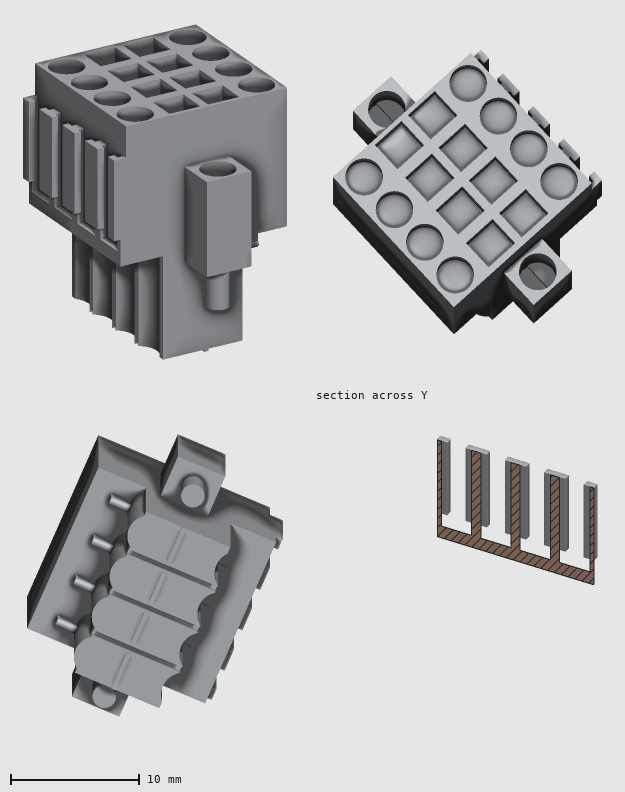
import cadquery as cq
import math

columns = 4
pitch = 3.5
column_x = [(i - (columns - 1) / 2) * pitch for i in range(columns)]
boundary_x = [(i - columns / 2) * pitch for i in range(columns + 1)]
web_x = boundary_x[1:-1]
top_opening_shift = 0.08

block_width = 13.94
block_half_depth = 7.25
block_bottom = 8.99
block_top = 20.8

front_wall = 0.52
front_top = 18.12
channel_width = 2.65
channel_bottom = 10.13
rib_head_width = 1.9
rib_head_depth = 0.56
rib_head_bottom = 11.27

opening_depth = 1.52
wire_radius = 1.45
wire_y = 5.47
release_width = 2.6
release_length = 2.8
release_y = pitch / 2

plug_bottom = 0.19
end_strip_y = -3.9
web_face_y = -4.25
plug_back_y = 3.22
scallop_center_y = -5.26
inner_scallop_radius = 1.75
outer_scallop_radius = 1.79
bump_radius = 1.66
bump_top_y = 3.9
web_slot_width = 0.42
web_slot_height = 0.56

foot_thickness = 0.37
foot_gap = 0.7
tab_reach = 0.75
tab_bottom = 8.0
key_bottom = 7.0
key_radius = 0.33
key_stem_width = 0.48
key_end_y = 5.53

total_width = 20.8
ear_width = (total_width - block_width) / 2
ear_length = 4.01
ear_bottom = 8.1
ear_top = 16.18
ear_x = (total_width - ear_width) / 2

screw_head_radius = 1.45
screw_head_height = 2.0
screw_head_bottom = 10.2
screw_shank_radius = 0.92
screw_bottom = 4.58
screw_slot_width = 0.42
screw_slot_depth = 0.5


def box(x_range, y_range, z_range):
    """Box given by its limits along each axis."""
    (x0, x1), (y0, y1), (z0, z1) = x_range, y_range, z_range
    return cq.Workplane("XY").box(x1 - x0, y1 - y0, z1 - z0, centered=False).translate((x0, y0, z0))


def centered(middle, size):
    """Limits of a span of the given size about its middle."""
    return middle - size / 2, middle + size / 2


def cylinder(x, y, radius, z_range):
    """Upright cylinder between two heights."""
    z0, z1 = z_range
    return cq.Workplane("XY").center(x, y).circle(radius).extrude(z1 - z0).translate((0, 0, z0))


def scallop_radius(column):
    """The two end scallops are slightly larger than the inner ones."""
    return outer_scallop_radius if column in (0, columns - 1) else inner_scallop_radius


def half_chord(radius):
    """Half the width of a scallop where it meets the web face."""
    return math.sqrt(radius ** 2 - (web_face_y - scallop_center_y) ** 2)


def make_upper_block():
    """Block with its T-ribs and the openings in the top face."""
    across = centered(0, block_width)
    face_y = -block_half_depth
    head_y = face_y - front_wall
    block = box(across, (-block_half_depth, block_half_depth), (block_bottom, block_top))

    layer = box(across, (head_y, face_y), (block_bottom, front_top))
    for x in column_x:
        layer = layer.cut(box(centered(x, channel_width), (head_y, face_y), (channel_bottom, front_top)))
    block = block.union(layer)

    head_limits = (head_y - rib_head_depth, head_y), (rib_head_bottom, front_top)
    head_zone = box(across, *head_limits)
    for x in boundary_x:
        block = block.union(box(centered(x, rib_head_width), *head_limits).intersect(head_zone))

    opening_z = (block_top - opening_depth, block_top)
    for x in column_x:
        opening_x = x + top_opening_shift
        for side in (-1, 1):
            block = block.cut(cylinder(opening_x, side * wire_y, wire_radius, opening_z))
            release_y_range = centered(side * release_y, release_length)
            block = block.cut(box(centered(opening_x, release_width), release_y_range, opening_z))
    return block


def make_plug():
    """Lower block, scalloped in front and with round bumps behind."""
    plug_z = (plug_bottom, block_bottom)
    plug = box(centered(0, block_width), (end_strip_y, plug_back_y), plug_z)
    web_span = column_x[-1] - column_x[0]
    plug = plug.union(box(centered(0, web_span), (web_face_y, end_strip_y), plug_z))
    for x in column_x:
        plug = plug.union(cylinder(x, bump_top_y - bump_radius, bump_radius, plug_z))
    for column, x in enumerate(column_x):
        plug = plug.cut(cylinder(x, scallop_center_y, scallop_radius(column), plug_z))

    slot_z = (plug_bottom, plug_bottom + web_slot_height)
    for x in web_x:
        plug = plug.cut(box(centered(x, web_slot_width), (web_face_y, bump_top_y), slot_z))
    return plug


def make_foot_ribs():
    """Thin rib under the plug, interrupted at each web."""
    rib_limits = centered(0, foot_thickness), (0, plug_bottom)
    ribs = box(centered(0, block_width), *rib_limits)
    for x in web_x:
        ribs = ribs.cut(box(centered(x, foot_gap), *rib_limits))
    return ribs


def add_web_tabs(housing):
    """Short tab on the front of each web, under the upper block."""
    tab_limits = (web_face_y - tab_reach, web_face_y), (tab_bottom, block_bottom)
    for left in range(columns - 1):
        x0 = column_x[left] + half_chord(scallop_radius(left))
        x1 = column_x[left + 1] - half_chord(scallop_radius(left + 1))
        housing = housing.union(box((x0, x1), *tab_limits))
    return housing


def add_coding_keys(housing):
    """Key behind each column: a flat stem with a wider round lower edge."""
    key_y = (plug_back_y, key_end_y)
    round_z = key_bottom + key_radius
    for x in column_x:
        stem = box(centered(x, key_stem_width), key_y, (round_z, block_bottom))
        bead = (cq.Workplane("XZ", origin=(x, key_end_y, round_z))
                .circle(key_radius).extrude(key_end_y - plug_back_y))
        housing = housing.union(stem).union(bead)
    return housing


def make_ear(x):
    """Side ear with a stepped hole for its screw."""
    ear = box(centered(x, ear_width), centered(0, ear_length), (ear_bottom, ear_top))
    ear = ear.cut(cylinder(x, 0, screw_head_radius, (screw_head_bottom, ear_top)))
    return ear.cut(cylinder(x, 0, screw_shank_radius, (ear_bottom, screw_head_bottom)))


def make_housing():
    housing = make_upper_block().union(make_plug()).union(make_foot_ribs())
    housing = add_coding_keys(add_web_tabs(housing))
    for side in (-1, 1):
        housing = housing.union(make_ear(side * ear_x))
    return housing


def make_screw(x):
    """Screw with a cylindrical head and a driver slot along X."""
    head_top = screw_head_bottom + screw_head_height
    screw = cylinder(x, 0, screw_head_radius, (screw_head_bottom, head_top))
    screw = screw.union(cylinder(x, 0, screw_shank_radius, (screw_bottom, screw_head_bottom)))
    slot_z = (head_top - screw_slot_depth, head_top)
    return screw.cut(box(centered(x, 2 * screw_head_radius), centered(0, screw_slot_width), slot_z))


housing = make_housing()
screws = [make_screw(side * ear_x) for side in (-1, 1)]

result = cq.Compound.makeCompound([housing.val(), *[screw.val() for screw in screws]])